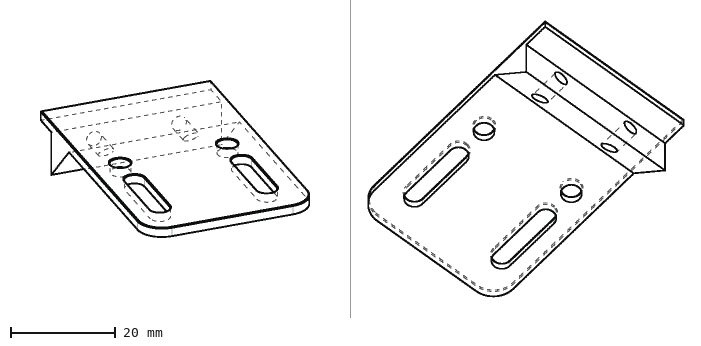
import cadquery as cq

length = 55
width = 35.0
height = 11.15
plate_thickness = 2.0
corner_radius = 5.0
edge_chamfer = 0.2

opening_width = 4.0
row_spacing = 22
row_middle_y = -0.5
round_hole_x = 26.0
slot_center_x = 39.95
slot_length = 16.9

rib_x = 5.5
rib_depth = height - plate_thickness
rib_hole_diameter = 3.0
rib_hole_spacing = width / 2
rib_hole_drop = 2.95


def make_plate():
    """Plate with rounded right corners, openings and a chamfered top rim."""
    plate = (
        cq.Workplane("XY")
        .workplane(offset=-plate_thickness)
        .rect(length, width)
        .extrude(plate_thickness)
        .translate((length / 2, 0, 0))
        .edges("|Z and >X")
        .fillet(corner_radius)
    )
    rows = (row_middle_y - row_spacing / 2, row_middle_y + row_spacing / 2)
    plate = (
        plate.faces(">Z")
        .workplane(origin=(0, 0, 0))
        .pushPoints([(round_hole_x, row_y) for row_y in rows])
        .circle(opening_width / 2)
        .cutThruAll()
        .faces(">Z")
        .workplane(origin=(0, 0, 0))
        .pushPoints([(slot_center_x, row_y) for row_y in rows])
        .slot2D(slot_length, opening_width)
        .cutThruAll()
    )
    return plate.faces(">Z").edges().chamfer(edge_chamfer)


def make_rib():
    """Full-width triangular rib below the plate, with two holes along X."""
    rib = (
        cq.Workplane("XZ")
        .moveTo(rib_x, -plate_thickness)
        .lineTo(rib_x, -height)
        .lineTo(rib_x + rib_depth, -plate_thickness)
        .close()
        .extrude(width / 2, both=True)
    )
    hole_z = -plate_thickness - rib_hole_drop
    holes = (
        cq.Workplane("YZ", origin=(rib_x, 0, hole_z))
        .pushPoints([(-rib_hole_spacing / 2, 0), (rib_hole_spacing / 2, 0)])
        .circle(rib_hole_diameter / 2)
        .extrude(rib_depth)
    )
    return rib.cut(holes)


result = make_plate().union(make_rib())